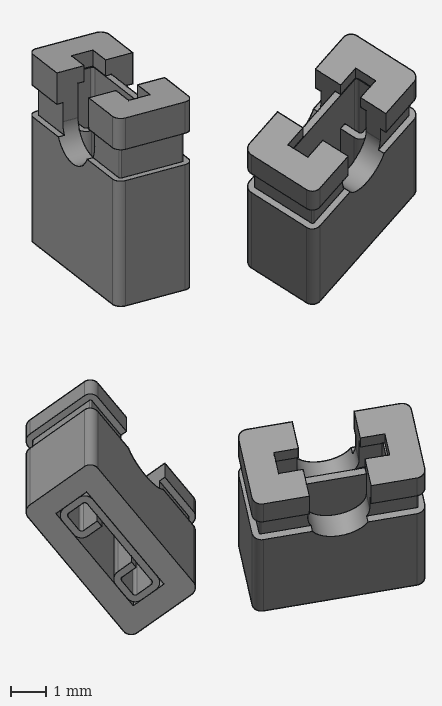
import cadquery as cq

HOUSING_HEIGHT = 6.0
HOUSING_LENGTH = HOUSING_HEIGHT * 5 / 6
HOUSING_DEPTH = HOUSING_LENGTH / 2
CAP_HEIGHT = HOUSING_HEIGHT / 6
GROOVE_HEIGHT = CAP_HEIGHT
GROOVE_DEPTH = 0.2
OUTER_CORNER_RADIUS = 0.275
NECK_CORNER_RADIUS = 0.055
LEDGE_HEIGHT = HOUSING_HEIGHT - CAP_HEIGHT - GROOVE_HEIGHT

WINDOW_RADIUS = 0.895
WINDOW_BOTTOM = 3.5
WINDOW_CENTER_HEIGHT = WINDOW_BOTTOM + WINDOW_RADIUS

LIP_THICKNESS = 0.51
SLOT_LENGTH = 3.21
SLOT_DEPTH = 0.7

CLIP_LENGTH = 3.6
CLIP_DEPTH = 1.1
CLIP_OFFSET = 0.035
SHEET_THICKNESS = 0.21
INNER_BEND_RADIUS = 0.09
OUTER_BEND_RADIUS = INNER_BEND_RADIUS + SHEET_THICKNESS
LEG_SPAN = 1.81
LEG_TIP_Y = 0.24
CLIP_HEIGHT = HOUSING_HEIGHT - LIP_THICKNESS
LEG_HEIGHT = LEDGE_HEIGHT


def block(length, depth, bottom, top):
    """Upright block centred on the Z axis, between two heights."""
    return (
        cq.Workplane("XY")
        .workplane(offset=bottom)
        .rect(length, depth)
        .extrude(top - bottom)
    )


def make_housing_shell():
    """Solid outside shape: base, recessed neck and cap."""
    neck_length = HOUSING_LENGTH - 2 * GROOVE_DEPTH
    neck_depth = HOUSING_DEPTH - 2 * GROOVE_DEPTH
    cap_bottom = LEDGE_HEIGHT + GROOVE_HEIGHT
    base = block(HOUSING_LENGTH, HOUSING_DEPTH, 0, LEDGE_HEIGHT)
    neck = block(neck_length, neck_depth, LEDGE_HEIGHT, cap_bottom)
    cap = block(HOUSING_LENGTH, HOUSING_DEPTH, cap_bottom, HOUSING_HEIGHT)
    base = base.edges("|Z").fillet(OUTER_CORNER_RADIUS)
    neck = neck.edges("|Z").fillet(NECK_CORNER_RADIUS)
    cap = cap.edges("|Z").fillet(OUTER_CORNER_RADIUS)
    return base.union(neck).union(cap)


def make_window():
    """Round-bottomed window, open at the top, running through along Y."""
    return (
        cq.Workplane("XZ")
        .moveTo(-WINDOW_RADIUS, HOUSING_HEIGHT)
        .lineTo(-WINDOW_RADIUS, WINDOW_CENTER_HEIGHT)
        .threePointArc((0, WINDOW_BOTTOM), (WINDOW_RADIUS, WINDOW_CENTER_HEIGHT))
        .lineTo(WINDOW_RADIUS, HOUSING_HEIGHT)
        .close()
        .extrude(HOUSING_DEPTH / 2, both=True)
    )


def make_housing():
    cavity = block(CLIP_LENGTH, CLIP_DEPTH, 0, CLIP_HEIGHT).translate((CLIP_OFFSET, 0, 0))
    slot = block(SLOT_LENGTH, SLOT_DEPTH, CLIP_HEIGHT, HOUSING_HEIGHT)
    return make_housing_shell().cut(cavity).cut(slot).cut(make_window())


def make_clip():
    outer_x = CLIP_LENGTH / 2
    outer_y = CLIP_DEPTH / 2
    inner_x = outer_x - SHEET_THICKNESS
    inner_y = outer_y - SHEET_THICKNESS
    leg_outer_x = LEG_SPAN / 2
    leg_inner_x = leg_outer_x - SHEET_THICKNESS

    outer_corners = [(outer_x, outer_y), (outer_x, -outer_y), (leg_inner_x, -outer_y)]
    leg_tip = [(leg_inner_x, LEG_TIP_Y), (leg_outer_x, LEG_TIP_Y)]
    inner_corners = [(leg_outer_x, -inner_y), (inner_x, -inner_y), (inner_x, inner_y)]
    right_half = outer_corners + leg_tip + inner_corners
    left_half = [(-x, y) for x, y in reversed(right_half)]
    clip = cq.Workplane("XY").polyline(right_half + left_half).close().extrude(CLIP_HEIGHT)

    bends = [(corner, OUTER_BEND_RADIUS) for corner in outer_corners]
    bends += [(corner, INNER_BEND_RADIUS) for corner in inner_corners]
    for (x, y), radius in bends:
        for side in (1, -1):
            corner_edge = cq.NearestToPointSelector((side * x, y, CLIP_HEIGHT / 2))
            clip = clip.edges("|Z").edges(corner_edge).fillet(radius)

    trim_depth = outer_y + LEG_TIP_Y
    trim = block(2 * inner_x, trim_depth, LEG_HEIGHT, CLIP_HEIGHT)
    trim = trim.translate((0, LEG_TIP_Y - trim_depth / 2, 0))
    return clip.cut(trim).translate((CLIP_OFFSET, 0, 0))


housing = make_housing()
clip = make_clip()
result = cq.Compound.makeCompound([housing.val(), clip.val()])